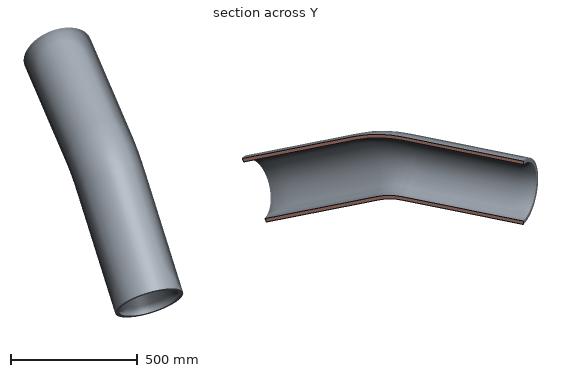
import cadquery as cq
import math

overall_length = 1219.0
outer_diameter = 280.0
inner_diameter = 246.0
bend_angle = 22.0
bend_radius = 1.5 * outer_diameter

bend_sine = math.sin(math.radians(bend_angle))
bend_cosine = math.cos(math.radians(bend_angle))
bend_reach = (bend_radius + outer_diameter / 2) * bend_sine
leg_length = (overall_length - bend_reach) / (1 + bend_cosine)


def pipe_section(plane):
    """Ring-shaped cross-section of the pipe on the given plane."""
    return cq.Workplane(plane).circle(outer_diameter / 2).circle(inner_diameter / 2)


inlet_plane = cq.Plane(origin=(0, 0, 0), xDir=(0, 1, 0), normal=(1, 0, 0))
bend_start = cq.Plane(origin=(leg_length, 0, 0), xDir=(0, 1, 0), normal=(1, 0, 0))
bend_end = cq.Plane(
    origin=(leg_length + bend_radius * bend_sine, 0, -bend_radius * (1 - bend_cosine)),
    xDir=(0, 1, 0),
    normal=(bend_cosine, 0, -bend_sine),
)

inlet_leg = pipe_section(inlet_plane).extrude(leg_length)
bend = pipe_section(bend_start).revolve(bend_angle, (0, -bend_radius), (1, -bend_radius))
outlet_leg = pipe_section(bend_end).extrude(leg_length)

result = inlet_leg.union(bend).union(outlet_leg)